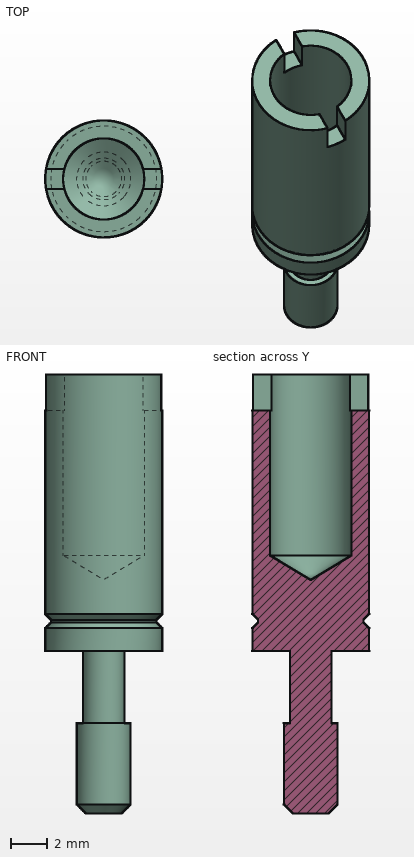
import cadquery as cq
import math

total_height = 24.3
body_radius = 6.5 / 2

tip_radius = 3.0 / 2
tip_length = 5.0
tip_chamfer = 0.5
neck_radius = 2.3 / 2
neck_length = 3.99

collar_height = 1.26
groove_depth = 0.32
groove_floor = 0.15

bore_radius = 4.5 / 2
bore_depth = 10.0
drill_point_angle = 118.0
slot_width = 1.1
slot_depth = 2.0

shoulder_z = tip_length + neck_length
groove_bottom_z = shoulder_z + collar_height
groove_floor_z = groove_bottom_z + groove_depth
groove_floor_top_z = groove_floor_z + groove_floor
groove_top_z = groove_floor_top_z + groove_depth
groove_radius = body_radius - groove_depth


def revolve_profile(points):
    """Revolve a closed (radius, z) outline around the Z axis."""
    return cq.Workplane("XZ").polyline(points).close().revolve(360, (0, 0), (0, 1))


def make_turned_body():
    return revolve_profile([
        (0, 0),
        (tip_radius - tip_chamfer, 0),
        (tip_radius, tip_chamfer),
        (tip_radius, tip_length),
        (neck_radius, tip_length),
        (neck_radius, shoulder_z),
        (body_radius, shoulder_z),
        (body_radius, groove_bottom_z),
        (groove_radius, groove_floor_z),
        (groove_radius, groove_floor_top_z),
        (body_radius, groove_top_z),
        (body_radius, total_height),
        (0, total_height),
    ])


def make_bore():
    """Straight bore ending in a drill-point cone."""
    bore_floor_z = total_height - bore_depth
    cone_height = bore_radius / math.tan(math.radians(drill_point_angle / 2))
    return revolve_profile([
        (0, bore_floor_z - cone_height),
        (bore_radius, bore_floor_z),
        (bore_radius, total_height),
        (0, total_height),
    ])


def make_slot():
    """Slot along X across both walls of the open end."""
    return (
        cq.Workplane("XY")
        .workplane(offset=total_height - slot_depth)
        .rect(2 * body_radius, slot_width)
        .extrude(slot_depth)
    )


result = make_turned_body().cut(make_bore()).cut(make_slot())